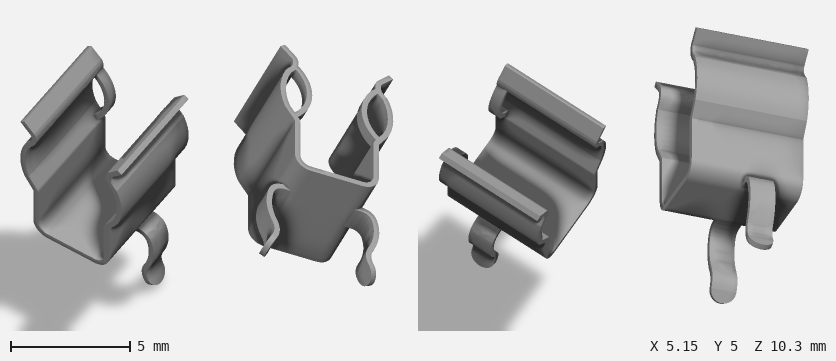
import cadquery as cq
import math


sheet = 0.25
length = 5.0
back_y = length / 2

half_width = 1.915
corner_radius = 0.73
floor_half = half_width - corner_radius
bend_z = 2.66
lean_angle = 33.6
bend_radius = 0.25

grip_radius = 2.575
grip_center = (0, 4.34)
bore_radius = grip_radius - sheet
bulge_top = 180 - 25.5
bulge_bottom = 180 + 23.3

throat_foot_angle = 47
throat_half_gap = 1.757
throat_z = 5.985
lip_root = (-2.044, 6.182)
lip_angle = 135
lip_length = 0.747
inner_lip_length = 0.71

finger_width = 0.5
finger_radius = 2.0
finger_center = (-3.125, 4.39)
finger_half_angle = 49

leg_width = 1.12
leg_center_y = 0.445
shoulder_radius = 0.83
shoulder_z = -0.534
belly_radius = 2.4
belly_center = (belly_radius - grip_radius, -0.9)
neck_crest_radius = 1.1
neck_radius = neck_crest_radius - sheet
neck_crest_x = -1.966
tail_angle = 27.8
tail_length = leg_width / 2


def polar(center, radius, angle):
    """Point at a radius and an angle in degrees from a centre."""
    turn = math.radians(angle)
    return (center[0] + radius * math.cos(turn), center[1] + radius * math.sin(turn))


def direction(start, end):
    """Angle in degrees of the line from start to end."""
    return math.degrees(math.atan2(end[1] - start[1], end[0] - start[0]))


def tangent(angle):
    """Unit vector at an angle in degrees."""
    return polar((0, 0), 1, angle)


def extrude_y(profile, start_y, end_y):
    """Extrude a closed XZ profile from start_y to end_y."""
    return profile.extrude(start_y - end_y).translate((0, start_y, 0))


def make_holder():
    outer_bend = (-half_width, bend_z)
    inner_bend = (sheet - half_width, bend_z + sheet * math.tan(math.radians(lean_angle / 2)))
    throat_tangents = [tangent(throat_foot_angle), tangent(90), tangent(lip_angle)]
    inner_throat_tangents = [tangent(lip_angle + 180), tangent(270), tangent(throat_foot_angle + 180)]
    outer_crest = (-throat_half_gap - sheet, throat_z)
    inner_crest = (-throat_half_gap, throat_z)
    inner_lip_root = polar(lip_root, sheet, lip_angle - 90)
    corner_center = (-floor_half, corner_radius)
    corner_bore = corner_radius - sheet
    half_section = (
        cq.Workplane("XZ")
        .moveTo(0, 0)
        .lineTo(-floor_half, 0)
        .threePointArc(polar(corner_center, corner_radius, 225), (-half_width, corner_radius))
        .lineTo(*outer_bend)
        .lineTo(*polar(grip_center, grip_radius, bulge_bottom))
        .threePointArc(
            polar(grip_center, grip_radius, 180),
            polar(grip_center, grip_radius, bulge_top),
        )
        .spline([outer_crest, lip_root], tangents=throat_tangents, includeCurrent=True)
        .lineTo(*polar(lip_root, lip_length, lip_angle))
        .lineTo(*polar(inner_lip_root, inner_lip_length, lip_angle))
        .lineTo(*inner_lip_root)
        .spline(
            [inner_crest, polar(grip_center, bore_radius, bulge_top)],
            tangents=inner_throat_tangents,
            includeCurrent=True,
        )
        .threePointArc(
            polar(grip_center, bore_radius, 180),
            polar(grip_center, bore_radius, bulge_bottom),
        )
        .lineTo(*inner_bend)
        .lineTo(sheet - half_width, corner_radius)
        .threePointArc(polar(corner_center, corner_bore, 225), (-floor_half, sheet))
        .lineTo(0, sheet)
        .close()
    )
    half = extrude_y(half_section, -back_y, back_y)
    inner_edge = cq.selectors.NearestToPointSelector((inner_bend[0], 0, inner_bend[1]))
    half = half.edges("|Y").edges(inner_edge).fillet(bend_radius)
    return half.union(half.mirror("YZ")).clean()


def make_finger(holder):
    bore = finger_radius - sheet
    profile = (
        cq.Workplane("XZ")
        .moveTo(*polar(finger_center, finger_radius, -finger_half_angle))
        .threePointArc(
            polar(finger_center, finger_radius, 0),
            polar(finger_center, finger_radius, finger_half_angle),
        )
        .lineTo(*polar(finger_center, bore, finger_half_angle))
        .threePointArc(polar(finger_center, bore, 0), polar(finger_center, bore, -finger_half_angle))
        .close()
    )
    return extrude_y(profile, back_y - finger_width, back_y).cut(holder)


def make_leg():
    shoulder_rise = shoulder_z - belly_center[1]
    shoulder_reach = math.sqrt((belly_radius - shoulder_radius)**2 - shoulder_rise**2)
    shoulder_center = (belly_center[0] - shoulder_reach, shoulder_z)
    neck_x = neck_crest_x - neck_crest_radius
    neck_drop = math.sqrt((belly_radius + neck_radius)**2 - (belly_center[0] - neck_x)**2)
    neck_center = (neck_x, belly_center[1] - neck_drop)

    shoulder_end = direction(belly_center, shoulder_center)
    belly_end = direction(belly_center, neck_center) % 360
    tail_direction = 270 - tail_angle

    shoulder = (shoulder_center, shoulder_radius, shoulder_radius - sheet)
    belly = (belly_center, belly_radius, belly_radius - sheet)
    neck = (neck_center, neck_radius, neck_crest_radius)
    stations = [
        (*shoulder, 90, 180),
        (*shoulder, shoulder_end, shoulder_end + 90),
        (*belly, 180, 270),
        (*belly, belly_end, belly_end + 90),
        (*neck, 0, 270),
        (*neck, -tail_angle, tail_direction),
    ]
    outer_face = [polar(center, outer, angle) for center, outer, inner, angle, path in stations]
    inner_face = [polar(center, inner, angle) for center, outer, inner, angle, path in stations]
    down_tangents = [tangent(station[-1]) for station in stations]
    up_tangents = [tangent(station[-1] + 180) for station in reversed(stations)]
    outer_tail_root = outer_face[-1]
    inner_tail_root = inner_face[-1]
    profile = (
        cq.Workplane("XZ")
        .moveTo(-floor_half, outer_face[0][1])
        .lineTo(*outer_face[0])
        .spline(outer_face[1:], tangents=down_tangents, includeCurrent=True)
        .lineTo(*polar(outer_tail_root, tail_length, tail_direction))
        .lineTo(*polar(inner_tail_root, tail_length, tail_direction))
        .lineTo(*inner_tail_root)
        .spline(inner_face[-2::-1], tangents=up_tangents, includeCurrent=True)
        .lineTo(-floor_half, inner_face[0][1])
        .close()
    )
    leg = extrude_y(profile, leg_center_y - leg_width / 2, leg_center_y + leg_width / 2)

    corner = cq.Workplane("XZ").center(-floor_half, corner_radius).circle(corner_radius)
    leg = leg.cut(extrude_y(corner, -back_y, back_y))

    tail_plane = cq.Plane(
        origin=(outer_tail_root[0], leg_center_y, outer_tail_root[1]),
        xDir=(0, 1, 0),
        normal=(math.cos(math.radians(tail_angle)), 0, -math.sin(math.radians(tail_angle))),
    )
    square_tail = (
        cq.Workplane(tail_plane)
        .center(0, -tail_length / 2)
        .rect(leg_width, tail_length)
        .extrude(sheet)
    )
    round_tail = cq.Workplane(tail_plane).circle(leg_width / 2).extrude(sheet)
    return leg.cut(square_tail.cut(round_tail))


holder = make_holder()
finger = make_finger(holder)
leg = make_leg()

bodies = [holder.solids().val()]
for side_body in (finger.solids(), leg.solids()):
    bodies.append(side_body.val())
    bodies.append(side_body.val().mirror("YZ"))

result = cq.Compound.makeCompound(bodies)